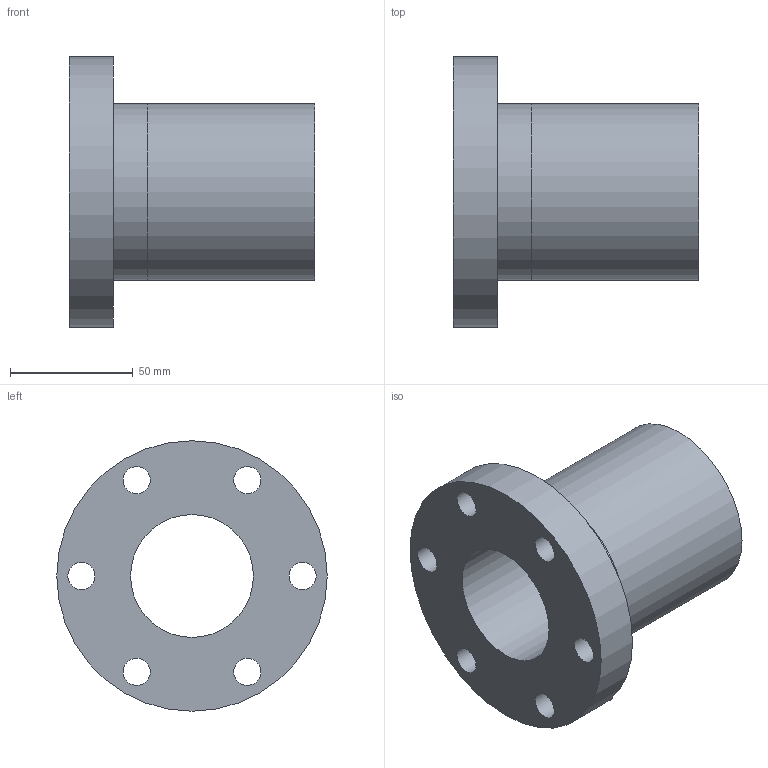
import cadquery as cq

flange_diameter = 110.0
flange_thickness = 18.0

overall_length = 100.0
barrel_diameter = 72.0
neck_length = 14.0
sleeve_length = overall_length - flange_thickness - neck_length

bore_diameter = 50.0

bolt_hole_count = 6
bolt_hole_diameter = 11.0
bolt_circle_diameter = 90.0


def axial_cylinder(diameter, length, start=0.0):
    """Cylinder about the X axis, running from X = start in the +X direction."""
    return cq.Workplane("YZ", origin=(start, 0, 0)).circle(diameter / 2).extrude(length)


def make_body():
    """Flange, neck and sleeve stacked along +X, with the flange face at X = 0."""
    flange = axial_cylinder(flange_diameter, flange_thickness)
    neck = axial_cylinder(barrel_diameter, neck_length, flange_thickness)
    sleeve = axial_cylinder(barrel_diameter, sleeve_length, flange_thickness + neck_length)
    return flange.union(neck, clean=False).union(sleeve, clean=False)


def make_bolt_holes():
    """Evenly spaced cylinders through the flange, the first one on the +Y axis."""
    return (
        cq.Workplane("YZ")
        .polarArray(bolt_circle_diameter / 2, 0, 360, bolt_hole_count)
        .circle(bolt_hole_diameter / 2)
        .extrude(flange_thickness)
    )


body = make_body()
bore = axial_cylinder(bore_diameter, overall_length)
result = body.cut(bore, clean=False).cut(make_bolt_holes(), clean=False)